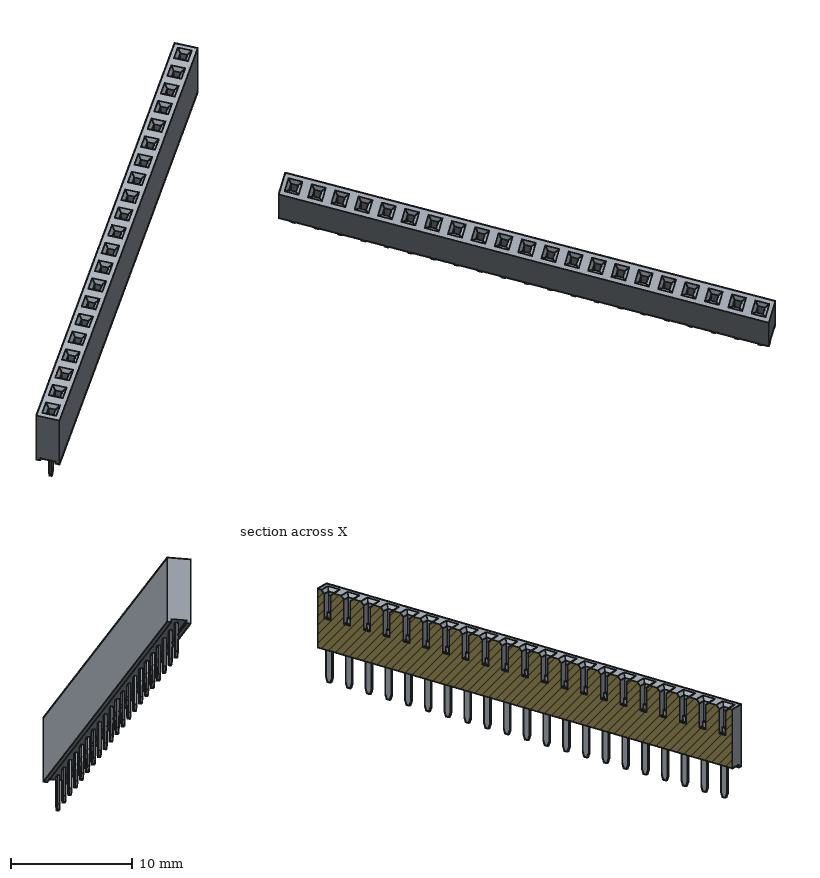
import cadquery as cq

contact_count = 21
pitch = 2.0

body_width = 2.0
body_length = contact_count * pitch
body_height = 5.6
rail_width = 0.35
channel_depth = 0.25
channel_width = body_width - 2 * rail_width

entry_size = 1.2
well_size = 0.6
funnel_depth = (entry_size - well_size) / 2
well_depth = 2.5
funnel_bottom_z = body_height - funnel_depth
well_floor_z = body_height - well_depth

pin_thickness = 0.2
pin_width = 0.6
pin_reach = 2.7
tip_width = 0.3
tip_length = 0.45

blade_width = tip_width
blade_height = 0.5


def make_housing():
    """Long block with a channel along its underside between two side rails."""
    from_base = (True, True, False)
    block = cq.Workplane("XY").box(body_width, body_length, body_height, centered=from_base)
    channel = cq.Workplane("XY").box(channel_width, body_length, channel_depth, centered=from_base)
    return block.cut(channel)


def make_socket():
    """Cutter for one socket on the Z axis, leaving the blade on the well floor."""
    funnel = (
        cq.Workplane("XY", origin=(0, 0, funnel_bottom_z))
        .rect(well_size, well_size)
        .workplane(offset=funnel_depth)
        .rect(entry_size, entry_size)
        .loft(ruled=True)
    )
    well_floor = cq.Workplane("XY", origin=(0, 0, well_floor_z))
    well = well_floor.rect(well_size, well_size).extrude(well_depth - funnel_depth)
    blade = well_floor.rect(pin_thickness, blade_width).extrude(blade_height)
    return funnel.union(well).cut(blade)


def make_pin():
    """One flat pin, rooted in the channel ceiling and tapering at its tip."""
    half_width = pin_width / 2
    half_tip = tip_width / 2
    shoulder_z = tip_length - pin_reach
    outline = [
        (-half_width, channel_depth),
        (-half_width, shoulder_z),
        (-half_tip, -pin_reach),
        (half_tip, -pin_reach),
        (half_width, shoulder_z),
        (half_width, channel_depth),
    ]
    return cq.Workplane("YZ").polyline(outline).close().extrude(pin_thickness / 2, both=True)


result = make_housing()
socket = make_socket()
pin = make_pin()
for index in range(contact_count):
    position = (0, (index - (contact_count - 1) / 2) * pitch, 0)
    result = result.cut(socket.translate(position)).union(pin.translate(position))